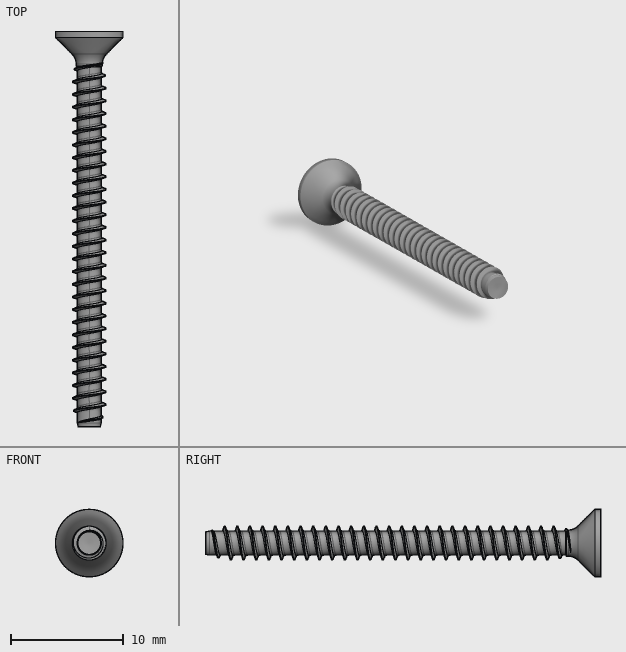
import cadquery as cq
import math

LENGTH = 35.0
HEAD_RADIUS = 3.0
RIM_HEIGHT = 0.55
CONE_ANGLE = 45.0
NECK_RADIUS = 1.17
NECK_BLEND = 1.2
NECK_END = 3.05

CORE_RADIUS = 1.075
TIP_RADIUS = 1.0
TIP_DISH = 0.1
TIP_TAPER = 0.35

THREAD_RADIUS = 1.5
PITCH = 1.12
CREST_WIDTH = 0.06
ROOT_WIDTH = 0.36
FOOT_WIDTH = 0.18
FOOT_HEIGHT = 0.04
END_RISE = 0.035
ROOT_SINK = 0.1
LEAD_IN_TURNS = 2
FULL_TURNS = 26
RUN_OUT_TURNS = 1.25
THREAD_START = 1.95
START_ANGLE = 90.0

ROOT_RADIUS = CORE_RADIUS - ROOT_SINK
FULL_HEIGHT = (CORE_RADIUS + FOOT_HEIGHT, THREAD_RADIUS)
BURIED = (ROOT_RADIUS + END_RISE, ROOT_RADIUS + 2 * END_RISE)


def screw_body():
    """Head, blended neck and core, revolved about the screw axis."""
    slope = math.radians(CONE_ANGLE)
    blend_start_radius = NECK_RADIUS + NECK_BLEND * (1 - math.cos(slope))
    cone_end = RIM_HEIGHT + (HEAD_RADIUS - blend_start_radius) / math.tan(slope)
    blend_end = cone_end + NECK_BLEND * math.sin(slope)
    half = slope / 2
    blend_mid = (
        NECK_RADIUS + NECK_BLEND * (1 - math.cos(half)),
        blend_end - NECK_BLEND * math.sin(half),
    )
    return (
        cq.Workplane("YZ")
        .lineTo(HEAD_RADIUS, 0)
        .lineTo(HEAD_RADIUS, RIM_HEIGHT)
        .lineTo(blend_start_radius, cone_end)
        .threePointArc(blend_mid, (NECK_RADIUS, blend_end))
        .lineTo(NECK_RADIUS, NECK_END)
        .lineTo(CORE_RADIUS, NECK_END + NECK_RADIUS - CORE_RADIUS)
        .lineTo(CORE_RADIUS, LENGTH - TIP_TAPER)
        .lineTo(TIP_RADIUS, LENGTH)
        .lineTo(0, LENGTH - TIP_DISH)
        .close()
        .revolve(360, (0, 0, 0), (0, 1, 0))
    )


def thread_edge(radius_start, radius_end, turns, axial):
    """Helix whose radius changes evenly from start to end."""
    height = turns * PITCH
    if radius_start == radius_end:
        helix = cq.Wire.makeHelix(PITCH, height, radius_start)
    else:
        taper = math.atan2(radius_end - radius_start, height)
        stretch = 1 / math.cos(taper)
        helix = cq.Wire.makeHelix(
            PITCH * stretch, height * stretch, radius_start, angle=math.degrees(taper)
        )
    return helix.translate(cq.Vector(0, 0, axial))


def thread_section(radii_start, radii_end, turns, start_turn):
    """Stretch of thread whose foot and crest radii run evenly from start to end."""
    foot_start, crest_start = radii_start
    foot_end, crest_end = radii_end
    foot_edge = -ROOT_WIDTH / 2 - FOOT_WIDTH * (1 + ROOT_SINK / FOOT_HEIGHT)
    corners = [
        thread_edge(ROOT_RADIUS, ROOT_RADIUS, turns, foot_edge),
        thread_edge(foot_start, foot_end, turns, -ROOT_WIDTH / 2),
        thread_edge(crest_start, crest_end, turns, -CREST_WIDTH / 2),
        thread_edge(crest_start, crest_end, turns, CREST_WIDTH / 2),
        thread_edge(ROOT_RADIUS, ROOT_RADIUS, turns, ROOT_WIDTH / 2),
    ]
    following = corners[1:] + corners[:1]
    flanks = [cq.Face.makeRuledSurface(a, b) for a, b in zip(corners, following)]
    ends = []
    for at in (0, 1):
        points = [corner.positionAt(at) for corner in corners]
        ends.append(cq.Face.makeFromWires(cq.Wire.makePolygon(points, close=True)))
    solid = cq.Solid.makeSolid(cq.Shell.makeShell(flanks + ends))
    turned = solid.rotate(cq.Vector(0, 0, 0), cq.Vector(0, 0, 1), START_ANGLE + 360 * start_turn)
    return turned.translate(cq.Vector(0, 0, THREAD_START + PITCH * start_turn))


def blend_radii(start, end, fraction):
    """Radii part of the way from start to end."""
    return tuple(a + (b - a) * fraction for a, b in zip(start, end))


def thread():
    """Thread from the neck to the tip, in pieces of at most one turn joined end to end."""
    pieces = []
    start_turn = 0
    for radii_start, radii_end, turns in (
        (BURIED, FULL_HEIGHT, LEAD_IN_TURNS),
        (FULL_HEIGHT, FULL_HEIGHT, FULL_TURNS),
        (FULL_HEIGHT, BURIED, RUN_OUT_TURNS),
    ):
        count = math.ceil(turns)
        for index in range(count):
            piece_start = blend_radii(radii_start, radii_end, index / count)
            piece_end = blend_radii(radii_start, radii_end, (index + 1) / count)
            pieces.append(thread_section(piece_start, piece_end, turns / count, start_turn))
            start_turn += turns / count
    return pieces


screw = screw_body().val().fuse(*thread())

result = cq.Workplane(screw.Solids()[0]).rotate((0, 0, 0), (1, 0, 0), 90)